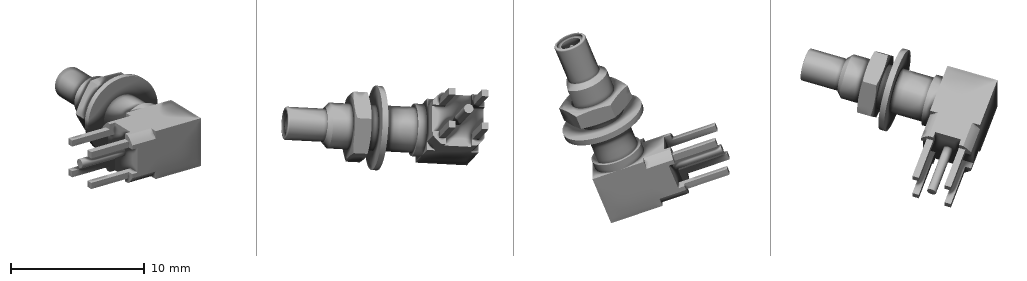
import cadquery as cq
import math


overall_length = 14.48
overall_depth = 10.69
block_width = 3.96
block_start = overall_length - block_width
block_center_x = block_start + block_width / 2
collar_length = 0.68
nose_length = 3.0
washer_start = 6.83
washer_thickness = 0.45

nose_radius = 1.25
nose_rounding = 0.12
barrel_radius = 1.725
barrel_chamfer = 0.35
barrel_flat_y = 1.43
washer_radius = 6.35 / 2
collar_radius = block_width / 2

mouth_radius = 1.05
mouth_depth = 0.2
bore_radius = 0.765
bore_depth = 2.0
contact_radius = 0.19
contact_setback = 0.35

block_top_y = 2.16
block_floor_y = -3.6
foot_height = 0.49
foot_end_y = block_floor_y - foot_height
turned_start_y = -1.96
turned_radius = 2.4
pin_end_y = washer_radius - overall_depth
pin_pitch = 2.54
pin_width = 0.51
foot_spacing = pin_pitch - pin_width
center_pin_radius = 0.355

nut_start = 4.9
nut_thickness = 1.27
nut_across_flats = 4.763
nut_across_corners = nut_across_flats / math.cos(math.radians(30))
nut_chamfer_angle = 15


def disc(start_x, length, radius):
    """Cylinder on the barrel axis."""
    return cq.Workplane("YZ", origin=(start_x, 0, 0)).circle(radius).extrude(length)


def along_pins(start_y):
    """Workplane centred on the block, extruding toward -Y; local x is X and local y is Z."""
    return cq.Workplane("XZ", origin=(block_center_x, start_y, 0))


def make_barrel():
    """Threaded barrel with its nose, side flat, washer flange and rear collar."""
    nose = disc(0, nose_length, nose_radius).faces("<X").edges().fillet(nose_rounding)
    thread = disc(nose_length, block_start - nose_length, barrel_radius)
    thread = thread.faces("<X").edges().chamfer(barrel_chamfer)
    beyond_flat = cq.Workplane("XY").box(
        overall_length, barrel_radius, 2 * barrel_radius, centered=(False, False, True)
    ).translate((0, barrel_flat_y, 0))
    thread = thread.cut(beyond_flat)
    washer = disc(washer_start, washer_thickness, washer_radius)
    collar = disc(block_start - collar_length, collar_length, collar_radius)
    return nose.union(thread).union(washer).union(collar)


def make_socket():
    """Stepped hole in the nose."""
    return disc(0, mouth_depth, mouth_radius).union(disc(0, bore_depth, bore_radius))


def make_contact():
    """Centre contact with a hemispherical tip, standing on the socket floor."""
    tip_center_x = contact_setback + contact_radius
    shank = disc(tip_center_x, bore_depth - tip_center_x, contact_radius)
    tip = cq.Workplane("XY", origin=(tip_center_x, 0, 0)).sphere(contact_radius)
    return shank.union(tip)


def make_block():
    """Square block whose pin end is turned at the corners and cross-slotted into four feet."""
    block = along_pins(block_top_y).rect(block_width, block_width).extrude(block_top_y - foot_end_y)
    turned_length = turned_start_y - foot_end_y
    round_stock = along_pins(turned_start_y).circle(turned_radius).extrude(turned_length)
    corners = along_pins(turned_start_y).rect(block_width, block_width).extrude(turned_length)
    block = block.cut(corners.cut(round_stock))
    for slot_x, slot_z in ((foot_spacing, block_width), (block_width, foot_spacing)):
        block = block.cut(along_pins(block_floor_y).rect(slot_x, slot_z).extrude(foot_height))
    return block


def make_pins():
    """Four square ground pins on the feet and the round signal pin in the middle."""
    ground = (
        along_pins(foot_end_y)
        .rarray(pin_pitch, pin_pitch, 2, 2)
        .rect(pin_width, pin_width)
        .extrude(foot_end_y - pin_end_y)
    )
    signal = along_pins(block_floor_y).circle(center_pin_radius).extrude(block_floor_y - pin_end_y)
    return ground, signal


def make_housing():
    housing = make_barrel().cut(make_socket()).union(make_contact()).union(make_block())
    for pins in make_pins():
        housing = housing.union(pins)
    return housing


def make_nut():
    """Hex nut with corners along Y, coned at both ends and bored to fit the barrel."""
    flat_radius = nut_across_flats / 2
    corner_radius = nut_across_corners / 2
    corner_drop = (corner_radius - flat_radius) * math.tan(math.radians(nut_chamfer_angle))
    nut_end = nut_start + nut_thickness
    hexagon = (
        cq.Workplane("YZ", origin=(nut_start, 0, 0))
        .polygon(6, nut_across_corners)
        .extrude(nut_thickness)
    )
    coned_envelope = (
        cq.Workplane("XY")
        .moveTo(nut_start, 0)
        .lineTo(nut_start, flat_radius)
        .lineTo(nut_start + corner_drop, corner_radius)
        .lineTo(nut_end - corner_drop, corner_radius)
        .lineTo(nut_end, flat_radius)
        .lineTo(nut_end, 0)
        .close()
        .revolve(360, (0, 0, 0), (1, 0, 0))
    )
    return hexagon.intersect(coned_envelope).cut(disc(nut_start, nut_thickness, barrel_radius))


housing = make_housing()
nut = make_nut()

result = cq.Compound.makeCompound([housing.val(), nut.val()])